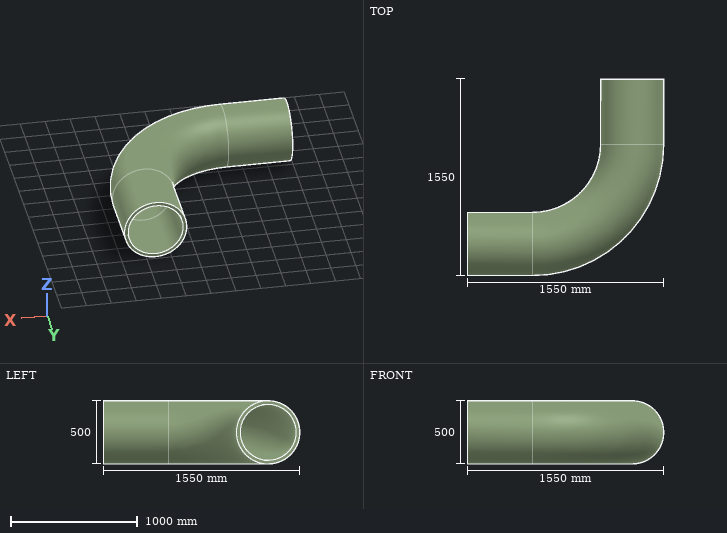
import cadquery as cq

outer_diameter = 500.0
inner_diameter = 440.6
overall_length = 1550.0
straight_length = 515.0
bend_angle = 90.0

centre_to_end = overall_length - outer_diameter / 2
bend_radius = centre_to_end - straight_length


def pipe_section(plane, centre):
    """Annular pipe cross-section on the given plane."""
    section = cq.Workplane(plane, origin=centre)
    return section.circle(outer_diameter / 2).circle(inner_diameter / 2)


def inlet_pipe():
    """Straight end along +X."""
    return pipe_section("YZ", (0, 0, 0)).extrude(straight_length)


def bend():
    """Quarter bend turning the pipe from +X to +Y."""
    axis_start = (bend_radius, 0)
    axis_end = (bend_radius, 1)
    return pipe_section("YZ", (straight_length, 0, 0)).revolve(bend_angle, axis_start, axis_end)


def outlet_pipe():
    """Straight end along +Y, leaving the bend."""
    return pipe_section("XZ", (centre_to_end, bend_radius, 0)).extrude(-straight_length)


result = inlet_pipe().union(bend()).union(outlet_pipe())